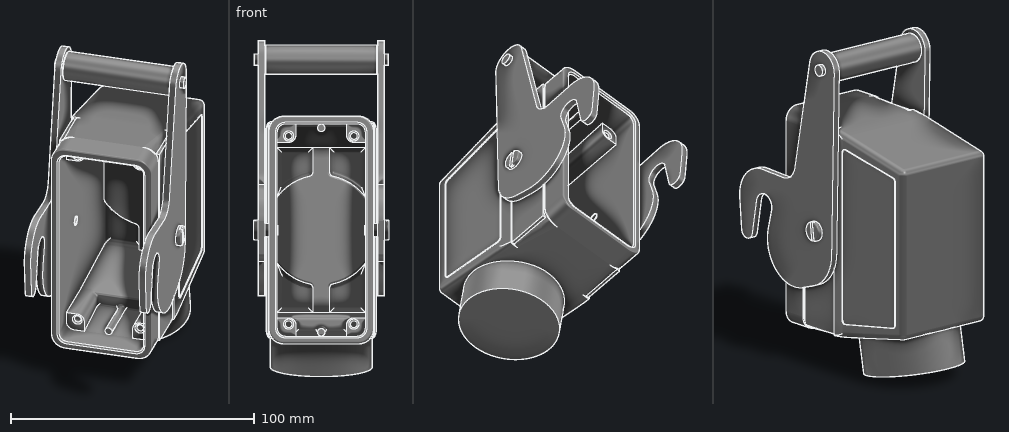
import cadquery as cq
import math


RIM_HALF_WIDTH = 21.4
RIM_HALF_HEIGHT = 46.8
RIM_DEPTH = 11.2
RIM_RADIUS = 6.0
RIM_EDGE = 0.8
WAIST_HALF_WIDTH = 20.7
WAIST_END = 31.5
WAIST_END_HALF_HEIGHT = 44.6
PAD_START = 12.6
PAD_HALF_HEIGHT = 43.8
REAR_HALF_WIDTH = 22.7
REAR_BEND = 40.1
REAR_BEND_HALF_HEIGHT = 43.4
BACK = 75.7
BACK_HALF_HEIGHT = 36.2
REAR_EDGE_RADIUS = 2.5
REAR_TAPER_LENGTH = 6.4
REAR_TAPER_STEP = 0.7
LABEL_FRONT = 37.3
LABEL_BACK = 70.6
LABEL_FRONT_HALF_HEIGHT = 37.9
LABEL_BACK_HALF_HEIGHT = 32.0
LABEL_RADIUS = 1.7
LABEL_DEPTH = 0.4
LABEL_CUT = 1.4

ENTRY_RADIUS = 21.0
ENTRY_TILT = 10.8
ENTRY_CENTRE_Y = 56.5
ENTRY_CENTRE_Z = -56.4
ENTRY_LENGTH = 17.3

CAVITY_HALF_WIDTH = 18.1
MOUTH_HALF_HEIGHT = 43.7
MOUTH_RADIUS = 3.5
MOUTH_EDGE = 0.7
POST_FRONT = 11.0
CEILING_BEND_Y = 34.5
CEILING_BEND_Z = 42.3
STEP_Y = 30.4
STEP_FOOT_Z = -41.7
STEP_TOP_Z = -36.2
STEP_FILLET = 1.2
FLOOR_Y = 66.3
POCKET_DEPTH = 3.5
POCKET_HALF_HEIGHT = 33.9
POCKET_EDGE = 2.1
PLATFORM_RADIUS = 22.7
PLATFORM_EDGE = 0.8
NECK_HALF_WIDTH = 3.5
NECK_RADIUS = 1.7
POST_INNER_X = 10.4
POST_INNER_Z = 36.0
POST_RADIUS = 3.0
SCREW_X = 13.4
SCREW_Z = 38.7
SCREW_RADIUS = 1.4
SCREW_MOUTH_RADIUS = 2.1
SCREW_DEPTH = 11.0
RIB_Z = 42.0
RIB_RADIUS = 1.5

LEVER_INNER_X = 23.2
LEVER_OUTER_X = 26.0
GRIP_Y = 28.5
GRIP_Z = 70.0
GRIP_RADIUS = 6.1
GRIP_EDGE = 0.4
GRIP_PIN_RADIUS = 2.3
GRIP_PIN_HALF_LENGTH = 27.6
PIVOT_Y = 24.6
PIVOT_RADIUS = 2.8
PIVOT_TIP_RADIUS = 2.0
PIVOT_TIP_LENGTH = 0.3
HEAD_RADIUS = 4.1
HEAD_OUTER_X = 27.9
HEAD_EDGE = 0.5
SLOT_WIDTH = 1.4
SLOT_DEPTH = 1.1
SLOT_TILT = 8.0

LEVER_CIRCLES = [
    (GRIP_Y, GRIP_Z, 7.9),
    (4.3, 25.5, -7.3),
    (-9.5, 4.8, 14.0),
    (-18.8, -9.5, 3.5),
    (-8.0, 3.6, -4.8),
    (11.2, -10.0, 17.1),
    (17.7, -7.9, 17.0),
]

PICK = 0.1


def block(x0, x1, y0, y1, z0, z1):
    size = (x1 - x0, y1 - y0, z1 - z0)
    return cq.Workplane("XY").box(*size, centered=False).translate((x0, y0, z0))


def cylinder_x(x0, x1, y, z, radius):
    return cq.Workplane("YZ", origin=(x0, y, z)).circle(radius).extrude(x1 - x0)


def cylinder_y(y0, y1, x, z, radius):
    return cq.Workplane("XZ", origin=(x, y0, z)).circle(radius).extrude(y0 - y1)


def side_profile(points, half_width):
    """Extrude a Y-Z outline symmetrically to both sides of the mid plane."""
    side = cq.Workplane("YZ", origin=(-half_width, 0, 0))
    return side.polyline(points).close().extrude(2 * half_width)


def rounded_rectangle(half_width, half_height, radius):
    return cq.Sketch().rect(2 * half_width, 2 * half_height).vertices().fillet(radius)


def rounded_face(y, half_width, half_height, radius):
    sketch = rounded_rectangle(half_width, half_height, radius)
    return cq.Workplane("XZ", origin=(0, y, 0)).placeSketch(sketch)


def both_sides(solid):
    return solid.union(solid.mirror("YZ"))


def make_rim():
    rim = rounded_face(0, RIM_HALF_WIDTH, RIM_HALF_HEIGHT, RIM_RADIUS).extrude(-RIM_DEPTH)
    return rim.faces("<Y").edges().fillet(RIM_EDGE)


def make_waist():
    """Tapering middle of the hood with a flat pad on each side."""
    front = rounded_rectangle(WAIST_HALF_WIDTH, RIM_HALF_HEIGHT, RIM_RADIUS)
    rear = rounded_rectangle(WAIST_HALF_WIDTH, WAIST_END_HALF_HEIGHT, REAR_EDGE_RADIUS)
    rear = rear.moved(cq.Location(cq.Vector(0, 0, RIM_DEPTH - WAIST_END)))
    waist = cq.Workplane("XZ", origin=(0, RIM_DEPTH, 0)).placeSketch(front, rear).loft()
    pad = block(-RIM_HALF_WIDTH, RIM_HALF_WIDTH, PAD_START, WAIST_END, -PAD_HALF_HEIGHT, PAD_HALF_HEIGHT)
    return waist.union(pad)


def make_rear():
    upper = cq.Workplane("YZ", origin=(-REAR_HALF_WIDTH, 0, 0)).moveTo(WAIST_END, 0).lineTo(BACK, 0)
    upper = upper.lineTo(BACK, BACK_HALF_HEIGHT).lineTo(REAR_BEND, REAR_BEND_HALF_HEIGHT)
    upper = upper.tangentArcPoint((WAIST_END, WAIST_END_HALF_HEIGHT), relative=False).close()
    upper = upper.extrude(2 * REAR_HALF_WIDTH)
    rear = upper.union(upper.mirror("XY"))
    rear = rear.faces(">Y or >X or <X").edges("not <Y").fillet(REAR_EDGE_RADIUS)
    wedge = [
        (REAR_HALF_WIDTH - REAR_TAPER_STEP, WAIST_END),
        (REAR_HALF_WIDTH, WAIST_END + REAR_TAPER_LENGTH),
        (REAR_HALF_WIDTH, WAIST_END),
    ]
    cutter = cq.Workplane("XY").polyline(wedge).close().extrude(RIM_HALF_HEIGHT, both=True)
    return rear.cut(both_sides(cutter))


def make_label_recess():
    outline = [
        (LABEL_FRONT, LABEL_FRONT_HALF_HEIGHT),
        (LABEL_BACK, LABEL_BACK_HALF_HEIGHT),
        (LABEL_BACK, -LABEL_BACK_HALF_HEIGHT),
        (LABEL_FRONT, -LABEL_FRONT_HALF_HEIGHT),
    ]
    floor = cq.Workplane("YZ", origin=(REAR_HALF_WIDTH - LABEL_DEPTH, 0, 0))
    recess = floor.polyline(outline).close().extrude(LABEL_CUT)
    return both_sides(recess.edges("|X").fillet(LABEL_RADIUS))


def make_cable_entry():
    tilt = math.radians(ENTRY_TILT)
    axis = cq.Vector(0, -math.sin(tilt), math.cos(tilt))
    base = cq.Vector(0, ENTRY_CENTRE_Y, ENTRY_CENTRE_Z)
    return cq.Workplane(cq.Solid.makeCylinder(ENTRY_RADIUS, ENTRY_LENGTH, base, axis))


def make_platform():
    """Raised round face with a neck running up and down, standing on the back wall."""
    pocket_floor = FLOOR_Y + POCKET_DEPTH
    disc = cylinder_y(FLOOR_Y, pocket_floor, 0, 0, PLATFORM_RADIUS)
    neck = block(-NECK_HALF_WIDTH, NECK_HALF_WIDTH, FLOOR_Y, pocket_floor,
                 -RIM_HALF_HEIGHT, RIM_HALF_HEIGHT)
    platform = disc.union(neck)
    inner = cq.selectors.BoxSelector(
        (-NECK_HALF_WIDTH - PICK, FLOOR_Y, -PLATFORM_RADIUS),
        (NECK_HALF_WIDTH + PICK, BACK, PLATFORM_RADIUS),
    )
    platform = platform.edges("|Y").edges(inner).fillet(NECK_RADIUS)
    return platform.faces("<Y").edges().fillet(PLATFORM_EDGE)


def make_pockets():
    """Four recesses in the back wall, left around the platform."""
    field = block(-CAVITY_HALF_WIDTH, CAVITY_HALF_WIDTH, FLOOR_Y - POCKET_DEPTH, FLOOR_Y + POCKET_DEPTH,
                  -POCKET_HALF_HEIGHT, POCKET_HALF_HEIGHT)
    return field.cut(make_platform()).faces(">Y").edges().fillet(POCKET_EDGE)


def make_screw_hole():
    shaft = cylinder_y(POST_FRONT, POST_FRONT + SCREW_DEPTH, SCREW_X, SCREW_Z, SCREW_RADIUS)
    mouth = cq.Solid.makeCone(
        SCREW_MOUTH_RADIUS, SCREW_RADIUS, SCREW_MOUTH_RADIUS - SCREW_RADIUS,
        cq.Vector(SCREW_X, POST_FRONT, SCREW_Z), cq.Vector(0, 1, 0),
    )
    return shaft.union(cq.Workplane(mouth))


def make_posts():
    """Screw posts filling the four corners of the cavity."""
    post_back = FLOOR_Y + POCKET_DEPTH
    posts = cq.Workplane("XY")
    for x_side in (-1, 1):
        for z_side in (-1, 1):
            post = block(POST_INNER_X, REAR_HALF_WIDTH, POST_FRONT, post_back,
                         POST_INNER_Z, RIM_HALF_HEIGHT)
            post = post.edges("|Y and <X and <Z").fillet(POST_RADIUS)
            post = post.cut(make_screw_hole())
            if x_side < 0:
                post = post.mirror("YZ")
            if z_side < 0:
                post = post.mirror("XY")
            posts = posts.add(post)
    return posts.combine()


def make_cavity():
    outline = [
        (0, MOUTH_HALF_HEIGHT),
        (POST_FRONT, MOUTH_HALF_HEIGHT),
        (CEILING_BEND_Y, CEILING_BEND_Z),
        (FLOOR_Y, POCKET_HALF_HEIGHT),
        (FLOOR_Y, -POCKET_HALF_HEIGHT),
        (STEP_Y, STEP_TOP_Z),
        (STEP_Y, STEP_FOOT_Z),
        (POST_FRONT, -MOUTH_HALF_HEIGHT),
        (0, -MOUTH_HALF_HEIGHT),
    ]
    cavity = side_profile(outline, CAVITY_HALF_WIDTH)
    mouth = rounded_face(0, CAVITY_HALF_WIDTH, MOUTH_HALF_HEIGHT, MOUTH_RADIUS).extrude(-BACK)
    cavity = cavity.intersect(mouth).cut(make_posts())
    for z, end in ((RIB_Z, CEILING_BEND_Y), (-RIB_Z, STEP_Y)):
        cavity = cavity.cut(cylinder_y(POST_FRONT, end, 0, z, RIB_RADIUS))
    step_box = cq.selectors.BoxSelector(
        (-POST_INNER_X, STEP_Y - PICK, STEP_FOOT_Z),
        (POST_INNER_X, STEP_Y + PICK, STEP_TOP_Z),
    )
    cavity = cavity.faces(step_box).edges().fillet(STEP_FILLET)
    cavity = cavity.union(make_pockets())
    lip = rounded_face(0, CAVITY_HALF_WIDTH + MOUTH_EDGE, MOUTH_HALF_HEIGHT + MOUTH_EDGE,
                       MOUTH_RADIUS + MOUTH_EDGE)
    return cavity.union(lip.extrude(-MOUTH_EDGE, taper=45))


def band_outline(circles):
    """Closed wire in the Y-Z plane following the tangents between directed circles."""
    normals = []
    for (y0, z0, r0), (y1, z1, r1) in zip(circles, circles[1:] + circles[:1]):
        span = math.hypot(y1 - y0, z1 - z0)
        normals.append(math.atan2(z1 - z0, y1 - y0) - math.acos((r0 - r1) / span))
    path = None
    for index, (y, z, radius) in enumerate(circles):
        entry = normals[index - 1]
        turn = (normals[index] - entry) % (2 * math.pi)
        if radius < 0:
            turn -= 2 * math.pi
        start, middle, end = [
            (y + radius * math.cos(entry + part * turn), z + radius * math.sin(entry + part * turn))
            for part in (0, 0.5, 1)
        ]
        path = cq.Workplane("YZ").moveTo(*start) if path is None else path.lineTo(*start)
        path = path.threePointArc(middle, end)
    return path.close()


def make_lever():
    thickness = LEVER_OUTER_X - LEVER_INNER_X
    return band_outline(LEVER_CIRCLES).extrude(thickness).translate((LEVER_INNER_X, 0, 0))


def make_pivot():
    tip = cylinder_x(CAVITY_HALF_WIDTH - PIVOT_TIP_LENGTH, CAVITY_HALF_WIDTH, PIVOT_Y, 0, PIVOT_TIP_RADIUS)
    shank = cylinder_x(CAVITY_HALF_WIDTH, LEVER_OUTER_X, PIVOT_Y, 0, PIVOT_RADIUS)
    head = cylinder_x(LEVER_OUTER_X, HEAD_OUTER_X, PIVOT_Y, 0, HEAD_RADIUS)
    head = head.faces(">X").edges().fillet(HEAD_EDGE)
    slot = block(HEAD_OUTER_X - SLOT_DEPTH, HEAD_OUTER_X, -SLOT_WIDTH / 2, SLOT_WIDTH / 2,
                 -HEAD_RADIUS, HEAD_RADIUS)
    slot = slot.rotate((0, 0, 0), (1, 0, 0), SLOT_TILT).translate((0, PIVOT_Y, 0))
    return tip.union(shank).union(head.cut(slot))


def make_grip():
    roller = cylinder_x(-LEVER_INNER_X, LEVER_INNER_X, GRIP_Y, GRIP_Z, GRIP_RADIUS)
    roller = roller.edges("%CIRCLE").chamfer(GRIP_EDGE)
    pin = cylinder_x(-GRIP_PIN_HALF_LENGTH, GRIP_PIN_HALF_LENGTH, GRIP_Y, GRIP_Z, GRIP_PIN_RADIUS)
    return roller.union(pin)


hood = make_rim().union(make_waist()).union(make_rear()).union(make_cable_entry())
hood = hood.cut(make_label_recess()).cut(make_cavity())
bail = both_sides(make_lever().union(make_pivot())).union(make_grip())
result = hood.union(bail)